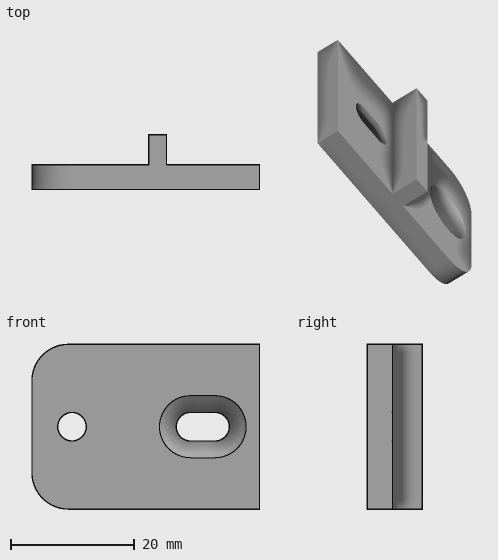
import cadquery as cq
import math

plate_length = 36.83
plate_height = 26.67
overall_depth = 8.89

plate_thickness = 4.064
corner_radius = 5.94
mid_height = plate_height / 2

rib_center_x = 20.32
rib_width = 2.921
rib_depth = overall_depth - plate_thickness

bore_diameter = 4.572
countersink_diameter = 10.03
countersink_angle = 82.0
countersink_taper = countersink_angle / 2
countersink_widening = (countersink_diameter - bore_diameter) / 2
countersink_depth = countersink_widening / math.tan(math.radians(countersink_taper))

round_hole_x = 6.5

slot_center_x = 27.63
slot_center_distance = 3.96


def front_plane(x, y):
    """Workplane at mid height whose normal points to -Y."""
    return cq.Workplane("XZ", origin=(x, y, mid_height))


def back_plane(x, y):
    """Workplane at mid height whose normal points to +Y."""
    return cq.Workplane("XZ", origin=(x, y, mid_height)).transformed(rotate=(0, 180, 0))


def make_plate():
    plate = cq.Workplane("XY").box(plate_length, plate_thickness, plate_height, centered=False)
    return plate.edges("|Y and <X").fillet(corner_radius)


def make_rib():
    rib = cq.Workplane("XY").box(rib_width, rib_depth, plate_height, centered=False)
    return rib.translate((rib_center_x - rib_width / 2, plate_thickness, 0))


def make_round_hole_cutter():
    """Through bore with a cone that is widest at the back face."""
    bore = back_plane(round_hole_x, 0).circle(bore_diameter / 2).extrude(plate_thickness)
    countersink = (
        front_plane(round_hole_x, plate_thickness)
        .circle(countersink_diameter / 2)
        .extrude(countersink_depth, taper=countersink_taper)
    )
    return bore.union(countersink)


def make_slot_cutter():
    """Through slot with tapered walls that are widest at the front face."""
    bore_length = slot_center_distance + bore_diameter
    countersink_length = slot_center_distance + countersink_diameter
    bore = back_plane(slot_center_x, 0).slot2D(bore_length, bore_diameter).extrude(plate_thickness)
    countersink = (
        back_plane(slot_center_x, 0)
        .slot2D(countersink_length, countersink_diameter)
        .extrude(countersink_depth, taper=countersink_taper)
    )
    return bore.union(countersink)


result = make_plate().union(make_rib()).cut(make_round_hole_cutter()).cut(make_slot_cutter())